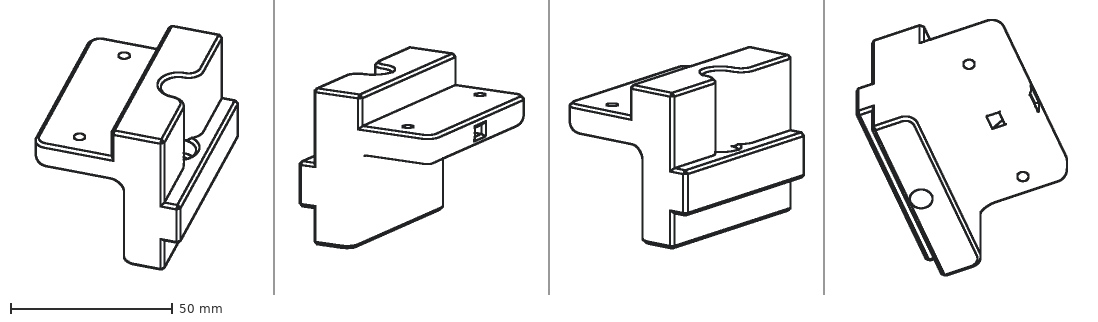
import cadquery as cq
import math

depth = 48.0
length = 60.0
height = 50.0
half_length = length / 2

round_radius = 4.0
chamfer = 1.0

plate_back = 42.8
block_thickness = 17.3
web_thickness = 14.0
block_front = plate_back - block_thickness
web_front = plate_back - web_thickness

shelf_top = 40.0
shelf_thickness = 10.0
shelf_bottom = shelf_top - shelf_thickness
shelf_middle = shelf_top - shelf_thickness / 2

rib_top = 26.0
rib_height = 14.5
rib_bottom = rib_top - rib_height

bolt_x = 38.0
bolt_diameter = 7.0
recess_radius = 11.0 / 2
counterbore_depth = 6.0
mouth_radius = plate_back - bolt_x

screw_x = 13.0
screw_spacing = 45.0
screw_diameter = 3.5

passage_width = 5.0
passage_height = 2.95
passage_straight = 7.2
bend_drop = 0.9
bend_angle = 24.0
exit_angle = 43.0

tolerance = 0.005

def make_bracket():
    """Full-length bracket with its rounded shelf and web."""
    outline = [
        (web_front, 0),
        (plate_back, 0),
        (plate_back, rib_bottom),
        (depth, rib_bottom),
        (depth, rib_top),
        (plate_back, rib_top),
        (plate_back, height),
        (block_front, height),
        (block_front, shelf_top),
        (0, shelf_top),
        (0, shelf_bottom),
        (web_front, shelf_bottom),
    ]
    bracket = cq.Workplane("XZ").polyline(outline).close().extrude(half_length, both=True)

    shelf_root = cq.selectors.NearestToPointSelector((web_front, 0, shelf_bottom))
    bracket = bracket.edges(shelf_root).fillet(round_radius)
    bracket = bracket.edges("|Z").edges("<X").fillet(round_radius)
    nose_underside = cq.selectors.NearestToPointSelector((0, 0, shelf_bottom))
    return bracket.edges(nose_underside).fillet(round_radius)


def make_recess():
    """Bolt-head recess, flaring outwards to the back of the block, from its floor to the top."""
    mouth_half_width = recess_radius + mouth_radius
    mouth_turn = mouth_radius * math.sqrt(0.5)
    arc_middle_x = bolt_x + mouth_turn
    arc_middle_y = mouth_half_width - mouth_turn
    return (
        cq.Workplane("XY", origin=(0, 0, rib_top))
        .moveTo(bolt_x, -recess_radius)
        .threePointArc((bolt_x - recess_radius, 0), (bolt_x, recess_radius))
        .threePointArc((arc_middle_x, arc_middle_y), (plate_back, mouth_half_width))
        .lineTo(depth, mouth_half_width)
        .lineTo(depth, -mouth_half_width)
        .lineTo(plate_back, -mouth_half_width)
        .threePointArc((arc_middle_x, -arc_middle_y), (bolt_x, -recess_radius))
        .close()
        .extrude(height - rib_top)
    )


def is_outer_corner(edge):
    """True for the sharp convex edges of the bracket, which are all bevelled."""
    center = edge.Center()

    def near(value, target):
        return abs(value - target) < tolerance

    if near(center.z, 0) or near(center.z, height) or near(center.x, depth):
        return True
    if near(center.z, shelf_top):
        return not near(center.x, block_front)
    if not near(abs(center.y), half_length):
        return False
    on_plate_corner = near(center.x, plate_back) or near(center.x, block_front)
    on_rib_end = near(center.z, rib_top) or near(center.z, rib_bottom)
    return on_plate_corner or on_rib_end


def make_bolt_hole():
    """Through hole with a head counterbore sunk into the top of the rib."""
    top = cq.Workplane("XY", origin=(bolt_x, 0, rib_top))
    shaft = top.circle(bolt_diameter / 2).extrude(-rib_top)
    counterbore = top.circle(recess_radius).extrude(-counterbore_depth)
    return shaft.union(counterbore)


def make_counterbore_bevel():
    """Bevel of the counterbore rim, kept to the open floor of the recess."""
    cone = cq.Solid.makeCone(
        recess_radius, recess_radius + chamfer, chamfer, pnt=cq.Vector(bolt_x, 0, rib_top - chamfer)
    )
    return make_recess().translate((0, 0, -chamfer)).intersect(cq.Workplane(cone))


def make_screw_holes():
    return (
        cq.Workplane("XY", origin=(screw_x, 0, shelf_top))
        .pushPoints([(0, -screw_spacing / 2), (0, screw_spacing / 2)])
        .circle(screw_diameter / 2)
        .extrude(-shelf_thickness)
    )


def make_passage():
    """Level passage from the nose that slopes down through the underside of the shelf."""
    ceiling = shelf_middle + passage_height / 2
    floor = shelf_middle - passage_height / 2
    exit_slope = math.tan(math.radians(exit_angle))
    bend_end_x = passage_straight + bend_drop / math.tan(math.radians(bend_angle))
    bend_end_z = ceiling - bend_drop
    profile = [
        (0, floor),
        (0, ceiling),
        (passage_straight, ceiling),
        (bend_end_x, bend_end_z),
        (bend_end_x + (bend_end_z - shelf_bottom) / exit_slope, shelf_bottom),
        (passage_straight + (floor - shelf_bottom) / exit_slope, shelf_bottom),
        (passage_straight, floor),
    ]
    return cq.Workplane("XZ").polyline(profile).close().extrude(passage_width / 2, both=True)


def is_passage_mouth(edge):
    """True for the edges where the passage breaks through the nose of the shelf."""
    bounds = edge.BoundingBox()
    in_nose = bounds.xmax < round_radius / 2
    in_passage_width = max(bounds.ymax, -bounds.ymin) < passage_width / 2 + tolerance
    return in_nose and in_passage_width


def bevel(body, is_bevelled):
    """Chamfer every edge of the body that passes the given test."""
    edges = [edge for edge in body.edges().vals() if is_bevelled(edge)]
    return body.newObject(edges).chamfer(chamfer)


body = bevel(make_bracket().cut(make_recess()), is_outer_corner)
body = body.cut(make_bolt_hole()).cut(make_counterbore_bevel())
body = body.cut(make_screw_holes())
result = bevel(body.cut(make_passage()), is_passage_mouth)